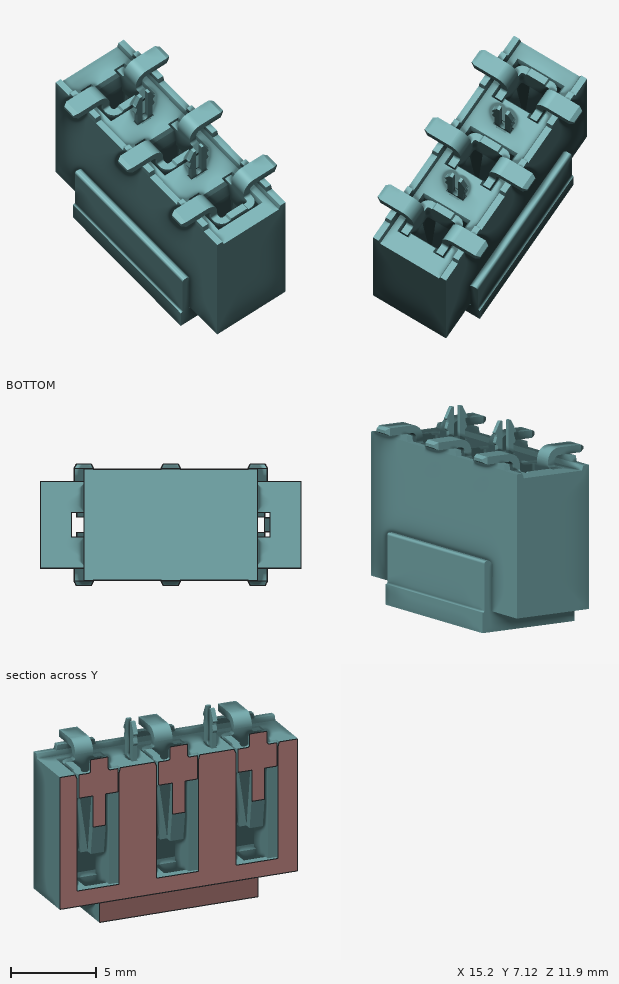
import cadquery as cq
import math


LENGTH = 15.24
PITCH = LENGTH / 3
CONTACT_CENTRES = [-PITCH, 0.0, PITCH]
LOCK_CENTRES = [-PITCH / 2, PITCH / 2]

CAP_LENGTH = 2 * PITCH
CAP_PLATE_HALF = 3.25
CAP_PLATE_TOP = 1.22
CAP_ARM_OUTER = 3.11
CAP_ARM_CLEARANCE = 0.06
CAP_GRIP_BOTTOM = 3.28
CAP_ARM_TOP = 4.27
CAP_LEAD_IN_TOP = 2.8
CAP_LEAD_IN_DEPTH = 0.27
CAP_LEAD_IN_BULGE = 0.03
CAP_OUTER_ROUND = 0.15
CAP_FOOT_ROUND = 0.1

HOUSING_HALF = PITCH / 2
HOUSING_BOTTOM = CAP_PLATE_TOP
DECK = 9.52
RAIL_TOP = 9.81
RAIL_INNER_TOP = 2.15
RAIL_INNER_DECK = 2.04
PAD_TOP = 10.15
PAD_HALF_TOP = 1.19
PAD_HALF_BOTTOM = 1.26
PAD_FACE_LEAN = 0.02

CHAMBER_LEFT = -1.25
CHAMBER_RIGHT = 1.4
CHAMBER_HALF = 1.5
STEP_HALF = 0.98
STEP_TOP = -0.9
MOUTH_FLARE = 0.14
MOUTH_LEFT_FLARE = 0.08
MOUTH_DEPTH = 0.29
STEP_RAMP_DEPTH = 0.75
FLOOR_THICKNESS = 1.0
CHAMBER_FLOOR = HOUSING_BOTTOM + FLOOR_THICKNESS
PIN_HOLE = 1.42

METAL = 0.45
LEG_WIDTH = 1.15
CHANNEL_LEFT = -1.22
CHANNEL_HALF = 1.45
CHANNEL_TOP = 9.5
CHANNEL_BOTTOM = 8.0
CHANNEL_INNER_ROUND = 0.14
BASE_TAB_TOP = 9.63
BASE_TAB_HALF_TOP = 0.6
BASE_TAB_HALF_BOTTOM = 0.69
LEG_FOOT_ROUND = 0.14
TAIL_BEND_INNER = 0.3
TAIL_SHOULDER = 3.29
TAIL_SPAN = 7.12
TAIL_TIP = TAIL_SPAN / 2
TAIL_TIP_INSET = 0.14
SPRING_WIDTH = 0.84
SPRING_SHIFT = 0.55
SPRING_BOTTOM = 4.27

LOCK_THICKNESS = 0.27
LOCK_TOP = 11.9
LOCK_TIP_HALF = 0.38
LOCK_SHANK_HALF = 0.55
LOCK_WAIST_HALF = 0.6
LOCK_BARB_HALF = 0.73
LOCK_SHOULDER_HALF = 0.69
LOCK_BARB_TOP = 11.32
LOCK_BARB_BOTTOM = 11.14
LOCK_BARB_TIP = 11.25
LOCK_WAIST_BOTTOM = 10.99
LOCK_HEEL_TOP = 10.71
LOCK_HEEL_BOTTOM = 10.49
LOCK_HEEL_BULGE_RISE = 0.09
LOCK_SLIT = 0.41
LOCK_SLIT_BOTTOM = 9.54
LOCK_POCKET_DEPTH = 0.09
LOCK_POCKET_LENGTH = 1.22
LOCK_POCKET_WIDTH = 0.4
LOCK_POCKET_MIDDLE_LENGTH = 0.64
LOCK_POCKET_MIDDLE_WIDTH = 0.58


def block(x0, x1, y0, y1, z0, z1):
    """Box between the given coordinates."""
    return cq.Workplane("XY").box(x1 - x0, y1 - y0, z1 - z0, centered=False).translate((x0, y0, z0))


def profile_along_x(outline, x0, x1):
    """Extrude a closed Workplane("YZ") outline from x0 to x1."""
    return outline.close().extrude(x1 - x0).translate((x0, 0, 0))


def on_both_sides(shape):
    """A shape on the +Y side together with its mirror image on the -Y side."""
    return shape.union(shape.mirror("XZ"))



def housing_block():
    outline = cq.Workplane("YZ").polyline([
        (-HOUSING_HALF, HOUSING_BOTTOM),
        (HOUSING_HALF, HOUSING_BOTTOM),
        (HOUSING_HALF, RAIL_TOP),
        (RAIL_INNER_TOP, RAIL_TOP),
        (RAIL_INNER_DECK, DECK),
        (-RAIL_INNER_DECK, DECK),
        (-RAIL_INNER_TOP, RAIL_TOP),
        (-HOUSING_HALF, RAIL_TOP),
    ])
    return profile_along_x(outline, -LENGTH / 2, LENGTH / 2)


def rail_pads(x):
    """Raised pads on both rails that carry the tails of the contact at x; outer faces lean inwards."""
    end_profile = cq.Workplane("YZ").polyline([
        (RAIL_INNER_TOP, RAIL_TOP),
        (HOUSING_HALF, RAIL_TOP),
        (HOUSING_HALF - PAD_FACE_LEAN, PAD_TOP),
        (RAIL_INNER_TOP, PAD_TOP),
    ])
    pad = profile_along_x(end_profile, -PAD_HALF_BOTTOM, PAD_HALF_BOTTOM)
    trapezoid = (
        cq.Workplane("XZ")
        .polyline([
            (-PAD_HALF_BOTTOM, RAIL_TOP),
            (PAD_HALF_BOTTOM, RAIL_TOP),
            (PAD_HALF_TOP, PAD_TOP),
            (-PAD_HALF_TOP, PAD_TOP),
        ])
        .close()
        .extrude(-HOUSING_HALF)
    )
    return on_both_sides(pad.intersect(trapezoid)).translate((x, 0, 0))


def chamber_outline(z, step_x, flare=0.0, left_flare=0.0):
    """Rectangle with a step in from its -X side, widened by the flares."""
    left = CHAMBER_LEFT - left_flare
    right = CHAMBER_RIGHT + flare
    half = CHAMBER_HALF + flare
    step_half = STEP_HALF - flare
    points = [
        (left, -half),
        (right, -half),
        (right, half),
        (left, half),
        (left, step_half),
        (step_x, step_half),
        (step_x, -step_half),
        (left, -step_half),
    ]
    return cq.Wire.makePolygon([cq.Vector(px, py, z) for px, py in points], close=True)


def chamber(x):
    """Contact chamber: flared mouth, ramped step and square hole for the mating pin."""
    mouth_bottom = DECK - MOUTH_DEPTH
    neck = chamber_outline(mouth_bottom, STEP_TOP)
    mouth = chamber_outline(DECK, STEP_TOP - MOUTH_FLARE, MOUTH_FLARE, MOUTH_LEFT_FLARE)
    ramp_bottom = chamber_outline(mouth_bottom - STEP_RAMP_DEPTH, -PIN_HOLE / 2)
    floor = chamber_outline(CHAMBER_FLOOR, -PIN_HOLE / 2)
    half = PIN_HOLE / 2
    space = block(-half, half, -half, half, HOUSING_BOTTOM, CHAMBER_FLOOR)
    for lower, upper in [(floor, ramp_bottom), (ramp_bottom, neck), (neck, mouth)]:
        space = space.union(cq.Workplane(cq.Solid.makeLoft([lower, upper], True)))
    return space.translate((x, 0, 0))


def lock_pocket(x):
    """Shallow cross-shaped pocket around the foot of the board lock at x."""
    pocket = (
        cq.Workplane("XY")
        .rect(LOCK_POCKET_WIDTH, LOCK_POCKET_LENGTH)
        .extrude(LOCK_POCKET_DEPTH)
    )
    middle = (
        cq.Workplane("XY")
        .rect(LOCK_POCKET_MIDDLE_WIDTH, LOCK_POCKET_MIDDLE_LENGTH)
        .extrude(LOCK_POCKET_DEPTH)
    )
    return pocket.union(middle).translate((x, 0, DECK - LOCK_POCKET_DEPTH))



def contact_channel():
    """U-shaped channel open towards -X, with a raised tab on its base."""
    inner_half = CHANNEL_HALF - METAL
    right = CHAMBER_RIGHT
    outside = block(CHANNEL_LEFT, right, -CHANNEL_HALF, CHANNEL_HALF, CHANNEL_BOTTOM, CHANNEL_TOP)
    outside = outside.edges("|Z and >X").fillet(CHANNEL_INNER_ROUND + METAL)
    inside = block(CHANNEL_LEFT, right - METAL, -inner_half, inner_half, CHANNEL_BOTTOM, CHANNEL_TOP)
    inside = inside.edges("|Z and >X").fillet(CHANNEL_INNER_ROUND)
    tab = cq.Workplane("YZ").polyline([
        (-BASE_TAB_HALF_BOTTOM, CHANNEL_TOP),
        (BASE_TAB_HALF_BOTTOM, CHANNEL_TOP),
        (BASE_TAB_HALF_TOP, BASE_TAB_TOP),
        (-BASE_TAB_HALF_TOP, BASE_TAB_TOP),
    ])
    return outside.cut(inside).union(profile_along_x(tab, right - METAL, right))


def contact_tail():
    """Leg that rises from the +Y wall of the channel and bends outwards to a tapered tip."""
    inner = CHANNEL_HALF - METAL
    bend_outer = TAIL_BEND_INNER + METAL
    bend_y = inner + bend_outer
    bend_z = PAD_TOP - TAIL_BEND_INNER
    tail_top = PAD_TOP + METAL
    diagonal = math.sqrt(0.5)
    outline = (
        cq.Workplane("YZ")
        .moveTo(inner, CHANNEL_TOP)
        .lineTo(inner, bend_z)
        .threePointArc(
            (bend_y - bend_outer * diagonal, bend_z + bend_outer * diagonal), (bend_y, tail_top)
        )
        .lineTo(TAIL_SHOULDER, tail_top)
        .lineTo(TAIL_SHOULDER, PAD_TOP)
        .lineTo(bend_y, PAD_TOP)
        .threePointArc(
            (bend_y - TAIL_BEND_INNER * diagonal, bend_z + TAIL_BEND_INNER * diagonal),
            (CHANNEL_HALF, bend_z),
        )
        .lineTo(CHANNEL_HALF, CHANNEL_TOP)
    )
    bent_leg = profile_along_x(outline, -LEG_WIDTH / 2, LEG_WIDTH / 2)
    tip = (
        cq.Workplane("XZ", origin=(0, TAIL_SHOULDER, PAD_TOP + METAL / 2))
        .rect(LEG_WIDTH, METAL)
        .workplane(offset=-(TAIL_TIP - TAIL_SHOULDER))
        .rect(LEG_WIDTH - 2 * TAIL_TIP_INSET, METAL - 2 * TAIL_TIP_INSET)
        .loft(ruled=True)
    )
    return bent_leg.union(tip)


def leg_foot():
    """Concave rounds where the +Y leg runs into the top of the channel."""
    half = LEG_WIDTH / 2
    foot_half = half + LEG_FOOT_ROUND
    foot = (
        cq.Workplane("XZ")
        .moveTo(-foot_half, CHANNEL_TOP)
        .lineTo(foot_half, CHANNEL_TOP)
        .radiusArc((half, CHANNEL_TOP + LEG_FOOT_ROUND), LEG_FOOT_ROUND)
        .lineTo(-half, CHANNEL_TOP + LEG_FOOT_ROUND)
        .radiusArc((-foot_half, CHANNEL_TOP), LEG_FOOT_ROUND)
        .close()
        .extrude(-METAL)
    )
    return foot.translate((0, CHANNEL_HALF - METAL, 0))


def spring_blade(outer, along_x):
    """Blade that leans from a channel wall, whose outer face is at `outer`, towards the centre."""
    plane = "XZ" if along_x else "YZ"
    return (
        cq.Workplane(plane)
        .polyline([
            (outer, CHANNEL_BOTTOM),
            (outer - METAL, CHANNEL_BOTTOM),
            (outer - METAL - SPRING_SHIFT, SPRING_BOTTOM),
            (outer - SPRING_SHIFT, SPRING_BOTTOM),
        ])
        .close()
        .extrude(SPRING_WIDTH / 2, both=True)
    )


def contact(x):
    legs = contact_tail().union(leg_foot())
    leg_springs = on_both_sides(spring_blade(CHANNEL_HALF, along_x=False))
    base_spring = spring_blade(CHAMBER_RIGHT, along_x=True)
    whole = contact_channel().union(on_both_sides(legs)).union(leg_springs).union(base_spring)
    return whole.translate((x, 0, 0))



def lock_half_outline():
    return (
        cq.Workplane("YZ")
        .moveTo(0, DECK - LOCK_POCKET_DEPTH)
        .lineTo(LOCK_SHANK_HALF, DECK - LOCK_POCKET_DEPTH)
        .lineTo(LOCK_SHANK_HALF, LOCK_HEEL_BOTTOM)
        .threePointArc(
            (LOCK_SHOULDER_HALF, LOCK_HEEL_BOTTOM + LOCK_HEEL_BULGE_RISE),
            (LOCK_SHOULDER_HALF, LOCK_HEEL_TOP),
        )
        .lineTo(LOCK_WAIST_HALF, LOCK_WAIST_BOTTOM)
        .lineTo(LOCK_WAIST_HALF, LOCK_BARB_BOTTOM)
        .threePointArc((LOCK_BARB_HALF, LOCK_BARB_TIP), (LOCK_SHOULDER_HALF, LOCK_BARB_TOP))
        .lineTo(LOCK_TIP_HALF, LOCK_TOP)
        .lineTo(0, LOCK_TOP)
    )


def board_lock(x):
    """Barbed peg split by a round-bottomed slit."""
    half_thickness = LOCK_THICKNESS / 2
    peg = on_both_sides(profile_along_x(lock_half_outline(), -half_thickness, half_thickness))
    slit_half = LOCK_SLIT / 2
    slit_centre = LOCK_SLIT_BOTTOM + slit_half
    slit = block(-half_thickness, half_thickness, -slit_half, slit_half, slit_centre, LOCK_TOP)
    slit_end = cq.Workplane("YZ", origin=(-half_thickness, 0, slit_centre)).circle(slit_half)
    slit_end = slit_end.extrude(LOCK_THICKNESS)
    return peg.cut(slit).cut(slit_end).translate((x, 0, 0))


def build_connector():
    connector = housing_block()
    for x in CONTACT_CENTRES:
        connector = connector.union(rail_pads(x)).cut(chamber(x)).union(contact(x))
    for x in LOCK_CENTRES:
        connector = connector.cut(lock_pocket(x)).union(board_lock(x))
    return connector



def cap_arm():
    """Arm on the +Y side, clear of the housing except for its grip at the top."""
    slot_wall = HOUSING_HALF + CAP_ARM_CLEARANCE
    lead_in_end = CAP_ARM_TOP - CAP_LEAD_IN_DEPTH
    lead_in_middle = (
        (CAP_LEAD_IN_TOP + HOUSING_HALF) / 2 - CAP_LEAD_IN_BULGE,
        CAP_ARM_TOP - CAP_LEAD_IN_DEPTH / 2 + CAP_LEAD_IN_BULGE,
    )
    outline = (
        cq.Workplane("YZ")
        .moveTo(slot_wall, CAP_PLATE_TOP)
        .lineTo(CAP_ARM_OUTER + CAP_FOOT_ROUND, CAP_PLATE_TOP)
        .radiusArc((CAP_ARM_OUTER, CAP_PLATE_TOP + CAP_FOOT_ROUND), CAP_FOOT_ROUND)
        .lineTo(CAP_ARM_OUTER, CAP_ARM_TOP - CAP_OUTER_ROUND)
        .radiusArc((CAP_ARM_OUTER - CAP_OUTER_ROUND, CAP_ARM_TOP), -CAP_OUTER_ROUND)
        .lineTo(CAP_LEAD_IN_TOP, CAP_ARM_TOP)
        .threePointArc(lead_in_middle, (HOUSING_HALF, lead_in_end))
        .lineTo(HOUSING_HALF, CAP_GRIP_BOTTOM)
        .lineTo(slot_wall, CAP_GRIP_BOTTOM)
    )
    return profile_along_x(outline, -CAP_LENGTH / 2, CAP_LENGTH / 2)


def build_cap():
    half_length = CAP_LENGTH / 2
    plate = block(-half_length, half_length, -CAP_PLATE_HALF, CAP_PLATE_HALF, 0, CAP_PLATE_TOP)
    return plate.union(on_both_sides(cap_arm()))


connector = build_connector()
cap = build_cap()
result = cq.Compound.makeCompound([connector.val(), cap.val()])